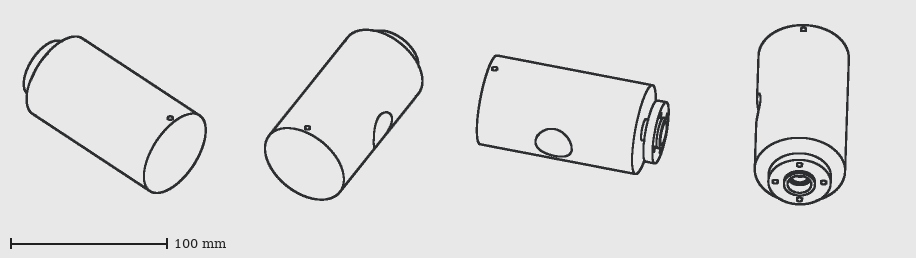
import cadquery as cq
import math

drill_tip_angle = 118.0

spigot_length = 2.0
flange_thickness = 6.0
neck_length = 5.0
body_length = 103.0

spigot_diameter = 20.0
flange_diameter = 40.0
neck_diameter = 14.0
body_diameter = 58.0

bore_entry_diameter = 15.2
bore_entry_depth = 7.0
bore_inner_diameter = 12.0

bolt_hole_count = 4
bolt_hole_diameter = 3.5
bolt_circle_diameter = 31.0

side_hole_diameter = 24.0
side_hole_end_distance = 51.0
side_hole_depth = body_diameter / 2

screw_hole_diameter = 3.3
screw_hole_depth = 8.0
screw_hole_end_distance = 4.0

flange_start = spigot_length
neck_start = flange_start + flange_thickness
body_start = neck_start + neck_length
body_end = body_start + body_length
body_radius = body_diameter / 2


def drill_tip_length(radius_change):
    """Axial length of a drill-point cone over the given change in radius."""
    return radius_change / math.tan(math.radians(drill_tip_angle / 2))


def cylinder_x(diameter, start, length):
    """Cylinder on the X axis, running from start toward +X."""
    return cq.Workplane("YZ").workplane(offset=start).circle(diameter / 2).extrude(length)


def make_outside():
    """Spigot, flange, neck and body in line on the X axis."""
    spigot = cylinder_x(spigot_diameter, 0, spigot_length)
    flange = cylinder_x(flange_diameter, flange_start, flange_thickness)
    neck = cylinder_x(neck_diameter, neck_start, neck_length)
    body = cylinder_x(body_diameter, body_start, body_length)
    return spigot.union(flange).union(neck).union(body)


def make_bore():
    """Entry bore, drill-point cone and inner bore that stops at the body."""
    entry_radius = bore_entry_diameter / 2
    inner_radius = bore_inner_diameter / 2
    cone_length = drill_tip_length(entry_radius - inner_radius)
    cone_end = bore_entry_depth + cone_length
    profile = (
        cq.Workplane("XY")
        .moveTo(0, 0)
        .lineTo(0, entry_radius)
        .lineTo(bore_entry_depth, entry_radius)
        .lineTo(cone_end, inner_radius)
        .lineTo(body_start, inner_radius)
        .lineTo(body_start, 0)
        .close()
    )
    return profile.revolve(360, (0, 0, 0), (1, 0, 0))


def make_bolt_holes():
    """Bolt holes through the flange, evenly spaced on the bolt circle."""
    return (
        cq.Workplane("YZ")
        .workplane(offset=flange_start)
        .polarArray(bolt_circle_diameter / 2, 0, 360, bolt_hole_count)
        .circle(bolt_hole_diameter / 2)
        .extrude(flange_thickness)
    )


def make_side_hole():
    """Blind hole from the +Y side to the body axis."""
    hole_x = body_end - side_hole_end_distance
    start = cq.Vector(hole_x, body_radius, 0)
    return cq.Workplane(
        cq.Solid.makeCylinder(side_hole_diameter / 2, side_hole_depth, start, cq.Vector(0, -1, 0))
    )


def make_screw_hole():
    """Blind drilled hole from the top of the body toward the axis."""
    hole_x = body_end - screw_hole_end_distance
    hole_radius = screw_hole_diameter / 2
    tip_length = drill_tip_length(hole_radius)
    down = cq.Vector(0, 0, -1)
    top = cq.Vector(hole_x, 0, body_radius)
    shank = cq.Solid.makeCylinder(hole_radius, screw_hole_depth, top, down)
    tip = cq.Solid.makeCone(hole_radius, 0, tip_length, top + down * screw_hole_depth, down)
    return cq.Workplane(shank).union(cq.Workplane(tip))


result = (
    make_outside()
    .cut(make_bore())
    .cut(make_bolt_holes())
    .cut(make_side_hole())
    .cut(make_screw_hole())
)